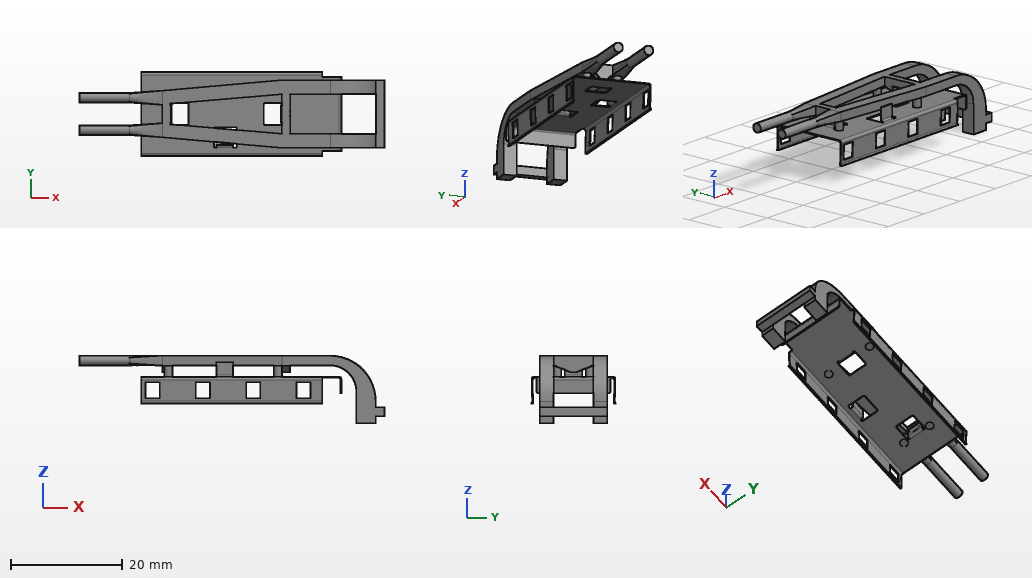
import cadquery as cq
import math

DIAGONAL = math.sqrt(0.5)


bar_height = 1.78
arm_width = 2.54
frame_half_width = 6.096
frame_inner_half = frame_half_width - arm_width
post_height = 2.03
frame_bottom = post_height
frame_top = frame_bottom + bar_height
frame_height = 12.19
leg_bottom = frame_top - frame_height
front_half_width = 4.19
front_inner_half = front_half_width - arm_width
cross_bar_length = 1.52
taper_end = 21.5
window_front_half = 1.85
rear_bar_end = taper_end + cross_bar_length

bend_start = 30.2
leg_outer_x = 38.42
leg_width = 3.52
leg_inner_x = leg_outer_x - leg_width
outer_bend_radius = leg_outer_x - bend_start
inner_bend_radius = leg_inner_x - bend_start
foot_length = 1.58
foot_height = 1.65
foot_rise = 1.27

overall_length = 54.9
rod_diameter = 1.78
rod_y = (front_half_width + front_inner_half) / 2
rod_tip_x = leg_outer_x + foot_length - overall_length
rod_end_x = -5.95

lug_drop = 1.25
lug_flat_half = 0.43

post_diameter = 1.52
front_post_x = 1.09
rear_post_x = 20.8
rear_post_y = 4.68
post_overlap = 0.1

sheet = 0.2
channel_start = -3.8
channel_length = 32.6
channel_end = channel_start + channel_length
overall_width = 15.21
wall_inset = 0.05
channel_half_width = overall_width / 2 - wall_inset
channel_depth = 4.83
channel_bend = 0.5
wall_lean = 0.11
lip_flare_height = 0.5

side_window_length = 2.5
side_window_height = 2.85
side_window_top = -1.0
side_window_pitch = 9.05
side_window_count = 4
side_window_margin = 0.82
first_side_window = channel_start + side_window_margin

lip_end = 32.25
lip_half_width = 6.7
lip_depth = 3.0
lip_bend = 0.5
lip_corner = 0.55

tab_bend = 0.55
tab_overlap = 0.3
end_tab_half_width = 1.6
end_tab_height = 2.4
end_opening_length = 3.55
end_opening_half = 1.95
opening_corner = 0.2
side_tab_start = 9.75
side_tab_length = 3.0
side_tab_height = 2.62
side_tab_face_y = -5.6
side_opening_start = 9.35
side_opening_length = 4.05
side_opening_near = -2.4
side_opening_far = -6.05


def box(x0, x1, y0, y1, z0, z1):
    """Box between the given limits."""
    return cq.Workplane("XY").box(x1 - x0, y1 - y0, z1 - z0, centered=False).translate((x0, y0, z0))


def make_frame():
    """Side profile with the bent legs, cut to the plan outline and opened between the arms."""
    profile = (
        cq.Workplane("XZ")
        .moveTo(0, frame_top)
        .lineTo(bend_start, frame_top)
        .threePointArc(
            (bend_start + outer_bend_radius * DIAGONAL, frame_top - outer_bend_radius * (1 - DIAGONAL)),
            (leg_outer_x, frame_top - outer_bend_radius),
        )
        .lineTo(leg_outer_x, leg_bottom)
        .lineTo(leg_inner_x, leg_bottom)
        .lineTo(leg_inner_x, frame_bottom - inner_bend_radius)
        .threePointArc(
            (bend_start + inner_bend_radius * DIAGONAL, frame_bottom - inner_bend_radius * (1 - DIAGONAL)),
            (bend_start, frame_bottom),
        )
        .lineTo(0, frame_bottom)
        .close()
        .extrude(frame_half_width, both=True)
    )
    outline = (
        cq.Workplane("XY")
        .workplane(offset=leg_bottom)
        .polyline([
            (0, front_half_width),
            (taper_end, frame_half_width),
            (leg_outer_x, frame_half_width),
            (leg_outer_x, -frame_half_width),
            (taper_end, -frame_half_width),
            (0, -front_half_width),
        ])
        .close()
        .extrude(frame_height)
    )
    window = (
        cq.Workplane("XY")
        .workplane(offset=leg_bottom)
        .polyline([
            (cross_bar_length, window_front_half),
            (taper_end, frame_inner_half),
            (taper_end, -frame_inner_half),
            (cross_bar_length, -window_front_half),
        ])
        .close()
        .extrude(frame_height)
    )
    leg_gap = box(rear_bar_end, leg_outer_x, -frame_inner_half, frame_inner_half, leg_bottom, frame_top)
    foot_bottom = leg_bottom + foot_rise
    foot = box(leg_outer_x, leg_outer_x + foot_length, -frame_half_width, frame_half_width,
               foot_bottom, foot_bottom + foot_height)
    return profile.intersect(outline).cut(window).cut(leg_gap).union(foot)


def make_lug(start_x, top_half):
    """Trapezoid hanging under a cross bar."""
    return (
        cq.Workplane("YZ")
        .workplane(offset=start_x)
        .polyline([
            (-top_half, frame_bottom),
            (top_half, frame_bottom),
            (lug_flat_half, frame_bottom - lug_drop),
            (-lug_flat_half, frame_bottom - lug_drop),
        ])
        .close()
        .extrude(cross_bar_length)
    )


def make_rod(y):
    """Round rod that blends into the square root on the frame's front face."""
    middle_z = (frame_top + frame_bottom) / 2
    rod = (
        cq.Workplane("YZ", origin=(rod_tip_x, y, middle_z))
        .circle(rod_diameter / 2)
        .extrude(rod_end_x - rod_tip_x)
    )
    blend = (
        cq.Workplane("YZ", origin=(rod_end_x, y, middle_z))
        .circle(rod_diameter / 2)
        .workplane(offset=-rod_end_x)
        .rect(arm_width, bar_height)
        .loft(ruled=True)
    )
    return rod.union(blend)


def make_posts():
    """Four round posts that carry the frame on the channel floor."""
    one_side = [(front_post_x, rod_y), (rear_post_x, rear_post_y)]
    places = [(x, side * y) for x, y in one_side for side in (1, -1)]
    return (
        cq.Workplane("XY")
        .workplane(offset=-sheet / 2)
        .pushPoints(places)
        .circle(post_diameter / 2)
        .extrude(post_height + sheet / 2 + post_overlap)
    )


def make_bent_sheet(reach, height, bend, width):
    """Sheet with a flat stretch of the given reach along X, bent down at X = 0 and centred on Y = 0.

    The flat stretch has its top at Z = 0 and the outer face of the bent part lies at X = 0.
    """
    inner = bend - sheet
    return (
        cq.Workplane("XZ")
        .moveTo(-reach, 0)
        .lineTo(-bend, 0)
        .threePointArc((-bend + bend * DIAGONAL, -bend + bend * DIAGONAL), (0, -bend))
        .lineTo(0, -height)
        .lineTo(-sheet, -height)
        .lineTo(-sheet, -bend)
        .threePointArc((-bend + inner * DIAGONAL, -bend + inner * DIAGONAL), (-bend, -sheet))
        .lineTo(-reach, -sheet)
        .close()
        .extrude(width / 2, both=True)
    )


def place(body, angle, x, y):
    """Turn a body about Z and move it to the given place."""
    return body.rotate((0, 0, 0), (0, 0, 1), angle).translate((x, y, 0))


def make_tab(height, width):
    """Tab bent up out of the channel floor, with its outer face at X = 0."""
    reach = tab_bend + tab_overlap
    return make_bent_sheet(reach, height + sheet, tab_bend, width).mirror("XY").translate((0, 0, -sheet))


def make_channel_half():
    """-Y half of the channel: floor, wall leaning inwards to a waist, and a flared lip below it."""
    flat_edge_y = -channel_half_width + channel_bend
    waist_point = (-channel_half_width + wall_lean, lip_flare_height - channel_depth)
    block = (
        cq.Workplane("YZ", origin=(channel_start, 0, 0))
        .moveTo(0, 0)
        .lineTo(flat_edge_y, 0)
        .threePointArc(
            (flat_edge_y - channel_bend * DIAGONAL, -channel_bend + channel_bend * DIAGONAL),
            (-channel_half_width, -channel_bend),
        )
        .lineTo(*waist_point)
        .tangentArcPoint((-overall_width / 2, -channel_depth), relative=False)
        .lineTo(0, -channel_depth)
        .close()
        .extrude(channel_length)
    )
    return block.cut(block.translate((0, sheet, -sheet)))


def make_channel():
    """Thin channel with side windows, a rear lip and floor openings for the clip tabs."""
    half = make_channel_half()
    channel = half.union(half.mirror("XZ"))
    for index in range(side_window_count):
        start = first_side_window + index * side_window_pitch
        channel = channel.cut(box(start, start + side_window_length, -channel_half_width, channel_half_width,
                                  side_window_top - side_window_height, side_window_top))

    lip = make_bent_sheet(lip_end - channel_end, lip_depth, lip_bend, 2 * lip_half_width)
    lip = lip.faces("<Z").edges("|X").fillet(lip_corner)
    channel = channel.union(place(lip, 0, lip_end, 0))

    front_edge = cross_bar_length - tab_bend + sheet
    rear_edge = taper_end + tab_bend - sheet
    openings = [
        (front_edge, front_edge + end_opening_length, -end_opening_half, end_opening_half),
        (rear_edge - end_opening_length, rear_edge, -end_opening_half, end_opening_half),
        (side_opening_start, side_opening_start + side_opening_length, side_opening_far, side_opening_near),
    ]
    for x0, x1, y0, y1 in openings:
        channel = channel.cut(box(x0, x1, y0, y1, -sheet, 0).edges("|Z").fillet(opening_corner))

    end_tab = make_tab(end_tab_height, 2 * end_tab_half_width)
    side_tab = make_tab(side_tab_height, side_tab_length)
    channel = channel.union(place(end_tab, 0, cross_bar_length + sheet, 0))
    channel = channel.union(place(end_tab, 180, taper_end - sheet, 0))
    side_tab_middle = side_tab_start + side_tab_length / 2
    return channel.union(place(side_tab, 90, side_tab_middle, side_tab_face_y + sheet))


result = make_frame()
result = result.union(make_lug(0, front_inner_half))
result = result.union(make_lug(taper_end, frame_inner_half))
for side in (1, -1):
    result = result.union(make_rod(side * rod_y))
result = result.union(make_channel())
result = result.union(make_posts())